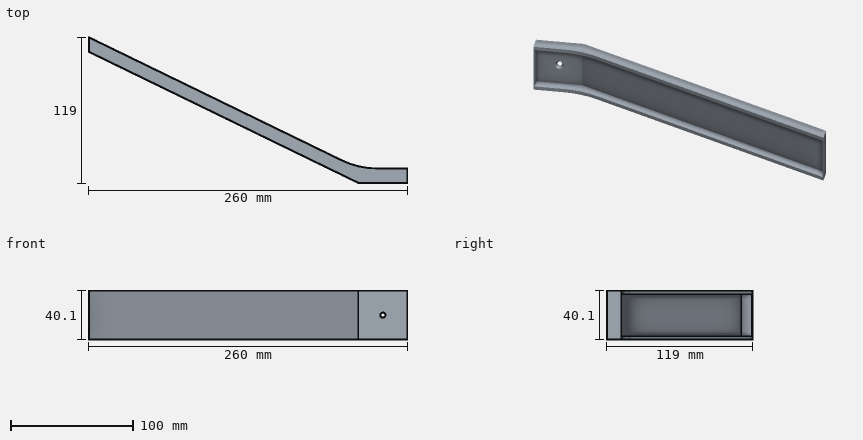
import cadquery as cq

LENGTH_X = 260.0
DEPTH_Y = 119.0
HEIGHT_Z = 40.1
FOOT_LENGTH = 40.0
BAR_DEPTH = 12.0
BEND_RADIUS = 65.0
WALL = 3.0
END_WALL = 1.0
HOLE_DIAMETER = 4.0
SINK_DIAMETER = 7.0
HOLE_LAND = 0.5

BEND_X = LENGTH_X - FOOT_LENGTH
ARM_RISE = DEPTH_Y - BAR_DEPTH
ARM_SLOPE = ARM_RISE / BEND_X
ARM_STRETCH = (1 + ARM_SLOPE**2) ** 0.5
HOLE_X = LENGTH_X - FOOT_LENGTH / 2
MID_Z = HEIGHT_Z / 2


def bent_bar():
    """Solid bar: a sloped arm and a straight foot, rounded behind the bend."""
    outline = [
        (0, ARM_RISE),
        (BEND_X, 0),
        (LENGTH_X, 0),
        (LENGTH_X, BAR_DEPTH),
        (BEND_X, BAR_DEPTH),
        (0, DEPTH_Y),
    ]
    bar = cq.Workplane("XY").polyline(outline).close().extrude(HEIGHT_Z)
    back_of_bend = cq.selectors.NearestToPointSelector((BEND_X, BAR_DEPTH, MID_Z))
    return bar.edges("|Z").edges(back_of_bend).fillet(BEND_RADIUS)


def hollow():
    """Pocket open at the back that leaves an even front wall along arm and foot."""
    start_x = END_WALL
    end_x = LENGTH_X - END_WALL
    arm_floor = ARM_RISE + WALL * ARM_STRETCH
    floor_bend_x = (arm_floor - WALL) / ARM_SLOPE
    outline = [
        (start_x, arm_floor - ARM_SLOPE * start_x),
        (floor_bend_x, WALL),
        (end_x, WALL),
        (end_x, DEPTH_Y),
        (start_x, DEPTH_Y),
    ]
    pocket = cq.Workplane("XY").workplane(offset=WALL).polyline(outline).close()
    return pocket.extrude(HEIGHT_Z - 2 * WALL)


def foot_hole():
    """Hole through the foot's front wall, countersunk from inside the hollow."""
    hole_radius = HOLE_DIAMETER / 2
    sink_radius = SINK_DIAMETER / 2
    half_profile = [
        (0, 0),
        (hole_radius, 0),
        (hole_radius, HOLE_LAND),
        (sink_radius, WALL),
        (0, WALL),
    ]
    axis_plane = cq.Workplane("XY", origin=(HOLE_X, 0, MID_Z))
    return axis_plane.polyline(half_profile).close().revolve(360, (0, 0), (0, 1))


result = bent_bar().cut(hollow()).cut(foot_hole())